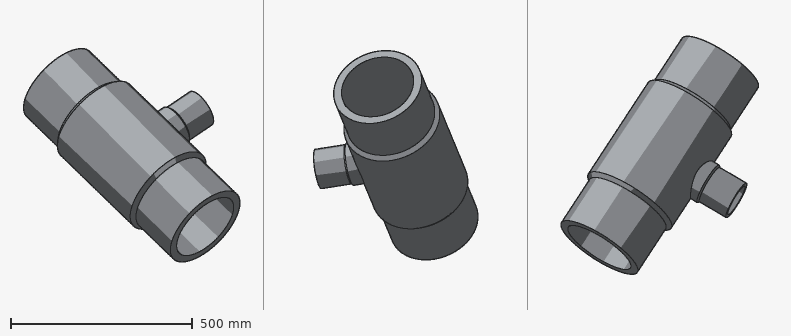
import cadquery as cq

pipe_length = 630.0
pipe_diameter = 250.0
bore_diameter = 205.0

sleeve_length = 335.0
sleeve_diameter = 273.0
sleeve_chamfer = (sleeve_diameter - pipe_diameter) / 2

branch_reach = 248.0
branch_diameter = 110.0
branch_bore_diameter = 90.0
collar_diameter = 120.0
collar_reach = 162.0
collar_chamfer = (collar_diameter - branch_diameter) / 2


def pipe_along_x(diameter, length):
    """Cylinder on the X axis, centred on the origin."""
    return cq.Workplane("YZ").circle(diameter / 2).extrude(length / 2, both=True)


def branch_along_y(diameter, reach):
    """Cylinder from the pipe axis out to a distance along +Y."""
    return cq.Workplane("XZ").circle(diameter / 2).extrude(-reach)


pipe = pipe_along_x(pipe_diameter, pipe_length)
sleeve = pipe_along_x(sleeve_diameter, sleeve_length).faces("<X or >X").chamfer(sleeve_chamfer)
branch = branch_along_y(branch_diameter, branch_reach)
collar = branch_along_y(collar_diameter, collar_reach).faces(">Y").chamfer(collar_chamfer)
body = pipe.union(sleeve).union(collar).union(branch)

main_bore = pipe_along_x(bore_diameter, pipe_length)
branch_bore = branch_along_y(branch_bore_diameter, branch_reach)

result = body.cut(main_bore).cut(branch_bore)